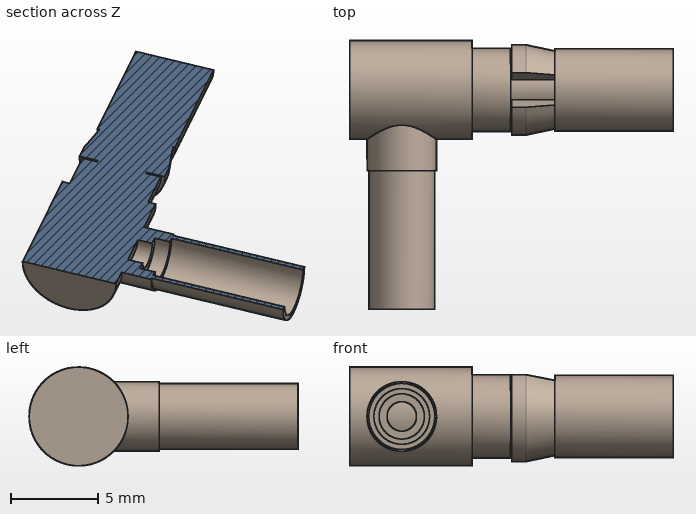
import cadquery as cq
import math

total_length = 18.6

body_diameter = 5.7
body_length = 7.03
neck_diameter = 4.8
neck_end = 9.25
sleeve_diameter = 4.75
sleeve_start = 11.8

ring_start = 9.3
ring_diameter = 5.2
ring_straight_length = 0.82
ring_tail_diameter = 4.5
core_diameter = 3.0
ring_slot_angle = 45.0

side_x = 3.0
side_reach = 12.61
boss_diameter = 4.0
boss_reach = 4.63
tube_diameter = 3.8
tube_bore_diameter = 3.2
step_bore_diameter = 2.6
step_bore_floor = 3.72
wire_hole_diameter = 1.7


def barrel_section(start, end, diameter):
    """Solid cylinder on the X axis between two stations."""
    return cq.Workplane("YZ").workplane(offset=start).circle(diameter / 2).extrude(end - start)


def side_section(start, end, diameter):
    """Solid cylinder on the side tube axis between two distances from the barrel axis."""
    plane = cq.Plane(origin=(side_x, -start, 0), xDir=(1, 0, 0), normal=(0, -1, 0))
    return cq.Workplane(plane).circle(diameter / 2).extrude(end - start)


def snap_ring():
    """Straight band followed by a taper that runs down to the sleeve."""
    taper_start = ring_start + ring_straight_length
    profile = [
        (ring_start, 0),
        (ring_start, ring_diameter / 2),
        (taper_start, ring_diameter / 2),
        (sleeve_start, ring_tail_diameter / 2),
        (sleeve_start, 0),
    ]
    return cq.Workplane("XY").polyline(profile).close().revolve(360, (0, 0, 0), (1, 0, 0))


def ring_slot():
    """Wedge with radial walls through the top of the ring, above a round floor."""
    slot_height = ring_diameter
    half_width = slot_height * math.tan(math.radians(ring_slot_angle / 2))
    slot_length = sleeve_start - ring_start
    wedge = (
        cq.Workplane("YZ")
        .workplane(offset=ring_start)
        .polyline([(0, 0), (half_width, slot_height), (-half_width, slot_height)])
        .close()
        .extrude(slot_length)
    )
    return wedge.cut(barrel_section(ring_start, sleeve_start, core_diameter))


def side_tube():
    """Boss and tube with a stepped bore."""
    tube = side_section(0, boss_reach, boss_diameter)
    tube = tube.union(side_section(boss_reach, side_reach, tube_diameter))
    tube = tube.cut(side_section(boss_reach, side_reach, tube_bore_diameter))
    tube = tube.cut(side_section(step_bore_floor, boss_reach, step_bore_diameter))
    return tube.cut(side_section(0, step_bore_floor, wire_hole_diameter))


body = barrel_section(0, body_length, body_diameter)
neck = barrel_section(body_length, neck_end, neck_diameter)
groove_core = barrel_section(neck_end, ring_start, core_diameter)
sleeve = barrel_section(sleeve_start, total_length, sleeve_diameter)
slotted_ring = snap_ring().cut(ring_slot())

result = body.union(neck).union(groove_core).union(slotted_ring).union(sleeve).union(side_tube())